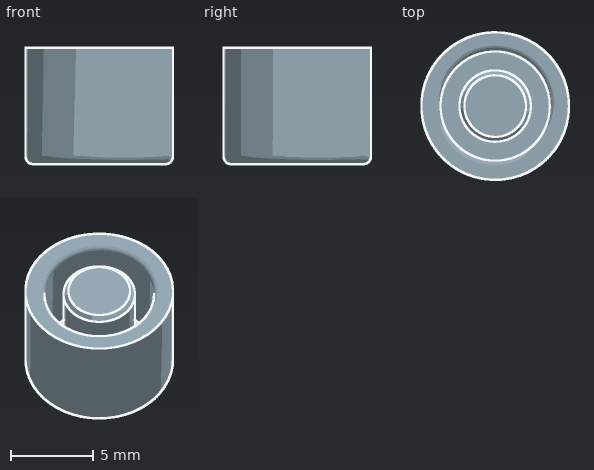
import cadquery as cq

outer_diameter = 9.0
height = 7.1
base_edge_radius = 0.5

cavity_diameter = 6.65
mouth_radius = 0.4
floor_thickness = (outer_diameter - cavity_diameter) / 2

pin_diameter = 4.35
pin_chamfer = 0.3


def make_cup():
    """Cylinder with a rounded base edge and a cavity with a rounded mouth."""
    body = cq.Workplane("XY").circle(outer_diameter / 2).extrude(height)
    body = body.faces("<Z").edges().fillet(base_edge_radius)
    cavity = (
        cq.Workplane("XY")
        .workplane(offset=floor_thickness)
        .circle(cavity_diameter / 2)
        .extrude(height - floor_thickness)
    )
    cup = body.cut(cavity)
    return cup.faces(">Z").edges(cq.selectors.RadiusNthSelector(0)).fillet(mouth_radius)


def make_pin():
    """Pin standing on the base, with a chamfered top edge."""
    pin = cq.Workplane("XY").circle(pin_diameter / 2).extrude(height)
    return pin.faces(">Z").edges().chamfer(pin_chamfer)


result = make_cup().union(make_pin())